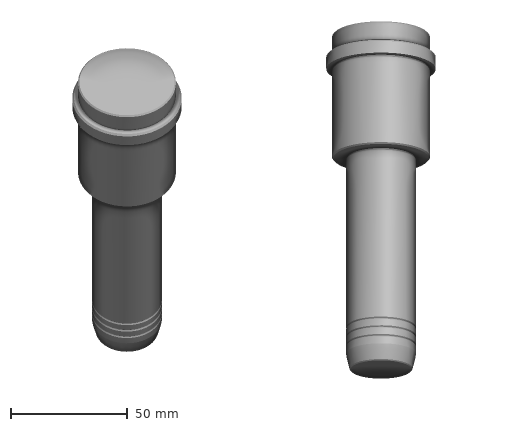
import cadquery as cq

total_length = 150.0
flange_diameter = 47.0
body_diameter = 42.0
stem_diameter = 30.0

body_bottom = 95.0
flange_bottom = 135.0
flange_top = 141.0

edge_chamfer = 0.6
flange_chamfer = 0.8
neck_height = 0.9
neck_depth = 0.5

taper_height = 7.0
tip_radius = 13.5
taper_bulge = 0.2
tip_chamfer = 0.5

groove_count = 3
groove_width = 1.0
groove_depth = 0.5
groove_pitch = 3.9
lowest_groove_bottom = 10.2


def cylinder(diameter, bottom, top):
    """Solid cylinder on the Z axis between two heights."""
    return cq.Workplane("XY").workplane(offset=bottom).circle(diameter / 2).extrude(top - bottom)


def ring_cut(diameter, section):
    """Ring that cuts a groove whose section is a list of (depth, height) corners."""
    corners = [(diameter / 2 - depth, height) for depth, height in section]
    return cq.Workplane("XZ").polyline(corners).close().revolve(360, (0, 0, 0), (0, 1, 0))


def vee_section(bottom):
    """Symmetric V groove section starting at the given height."""
    return [(0, bottom), (groove_depth, bottom + groove_width / 2), (0, bottom + groove_width)]


def neck_section(shoulder, far_edge):
    """Neck section: straight wall at the shoulder, then a slope out to the far edge."""
    middle = (shoulder + far_edge) / 2
    return [(0, shoulder), (neck_depth, shoulder), (neck_depth, middle), (0, far_edge)]


def make_stem():
    """Stem with a gently bulging taper at its tip, reaching up to the body."""
    radius = stem_diameter / 2
    middle_radius = (radius + tip_radius) / 2 + taper_bulge
    stem = (
        cq.Workplane("XZ")
        .moveTo(0, 0)
        .lineTo(tip_radius - tip_chamfer, 0)
        .lineTo(tip_radius, tip_chamfer)
        .threePointArc((middle_radius, (tip_chamfer + taper_height) / 2), (radius, taper_height))
        .lineTo(radius, body_bottom)
        .lineTo(0, body_bottom)
        .close()
        .revolve(360, (0, 0, 0), (0, 1, 0))
    )
    for index in range(groove_count):
        groove_bottom = lowest_groove_bottom + index * groove_pitch
        stem = stem.cut(ring_cut(stem_diameter, vee_section(groove_bottom)))
    return stem.cut(ring_cut(stem_diameter, neck_section(body_bottom, body_bottom - neck_height)))


def make_body():
    """Body cylinder with broken end edges and a neck on each side of the flange."""
    body = cylinder(body_diameter, body_bottom, total_length)
    body = body.faces("<Z or >Z").edges().chamfer(edge_chamfer)
    for shoulder, far_edge in (
        (flange_bottom, flange_bottom - neck_height),
        (flange_top, flange_top + neck_height),
    ):
        body = body.cut(ring_cut(body_diameter, neck_section(shoulder, far_edge)))
    return body


def make_flange():
    """Locating flange with a chamfered upper edge."""
    flange = cylinder(flange_diameter, flange_bottom, flange_top)
    return flange.faces(">Z").edges().chamfer(flange_chamfer)


result = make_stem().union(make_body()).union(make_flange())